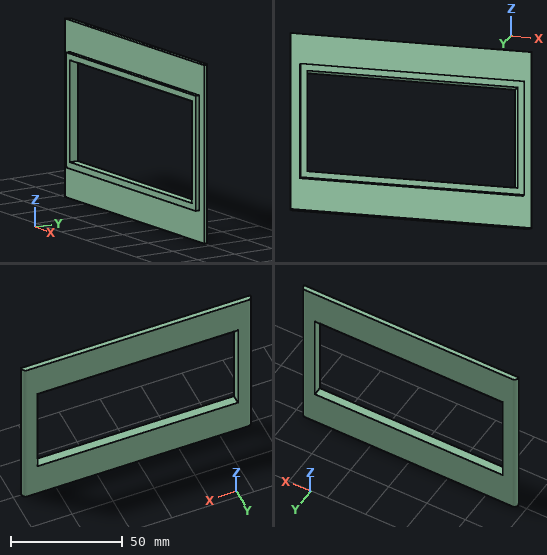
import cadquery as cq

plate_width = 112.0
plate_height = 82.0
total_depth = 4.5
plate_thickness = 2.5
edge_radius = 2.0

rim_width = 103.9
rim_height = 52.9
rim_wall = 3.0
rim_depth = total_depth - plate_thickness
window_width = rim_width - 2 * rim_wall
window_height = rim_height - 2 * rim_wall


def centred_block(width, height, front_y, depth):
    """Block centred in X and Z, reaching from front_y towards +Y."""
    block = cq.Workplane("XY").box(width, depth, height, centered=(True, False, True))
    return block.translate((0, front_y, 0))


plate = centred_block(plate_width, plate_height, 0, plate_thickness)
plate = plate.faces(">Y").edges("|Z").fillet(edge_radius)

rim = centred_block(rim_width, rim_height, -rim_depth, rim_depth)

window = centred_block(window_width, window_height, -rim_depth, total_depth)

result = plate.union(rim).cut(window)